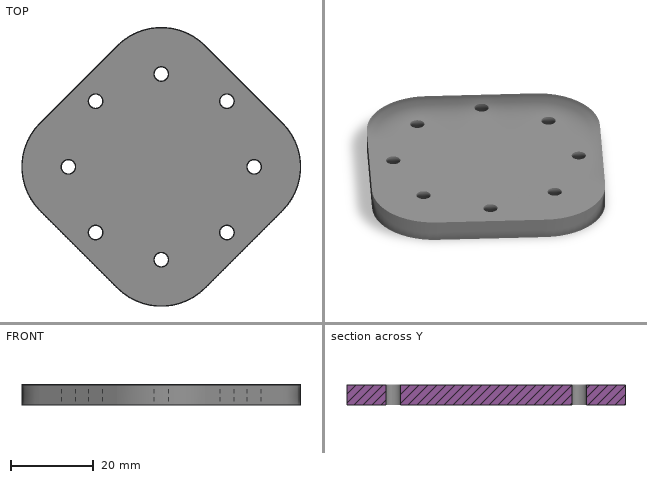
import cadquery as cq
import math

tip_to_tip = 67.45
thickness = 5.0
corner_radius = 15.0
hole_diameter = 3.45
hole_circle_radius = 22.45
hole_count = 8

corner_center_distance = tip_to_tip / 2 - corner_radius
side = math.sqrt(2) * corner_center_distance + 2 * corner_radius

plate = (
    cq.Workplane("XY")
    .rect(side, side)
    .extrude(thickness)
    .edges("|Z")
    .fillet(corner_radius)
    .rotate((0, 0, 0), (0, 0, 1), 45)
)

holes = (
    cq.Workplane("XY")
    .polarArray(hole_circle_radius, 0, 360, hole_count)
    .circle(hole_diameter / 2)
    .extrude(thickness)
)

result = plate.cut(holes)